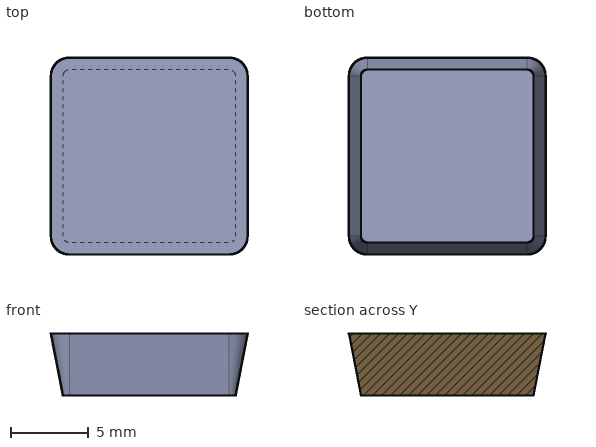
import cadquery as cq

side_length = 12.66
thickness = 4.0
corner_radius = 1.2
clearance_angle = 11.0


def top_outline():
    """Rounded square of the top face, centred on the Z axis."""
    return cq.Sketch().rect(side_length, side_length).vertices().fillet(corner_radius)


def insert_body():
    """Extrude downward from the top face, so the flanks lean in and the corners become cones."""
    top_plane = cq.Workplane("XY").workplane(offset=thickness)
    return top_plane.placeSketch(top_outline()).extrude(-thickness, taper=clearance_angle)


result = insert_body()